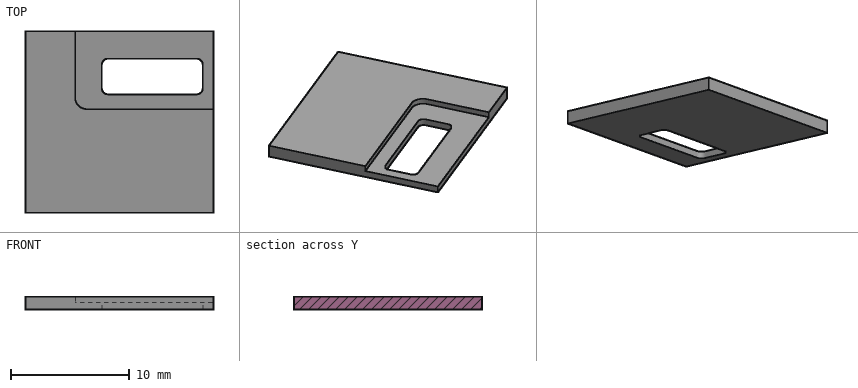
import cadquery as cq

length = 15.91
width = 15.35
thickness = 1.1

left_border = 4.2
recess_width = 6.59
recess_depth = 0.5
recess_radius = 1.0

window_length = 8.5
window_width = 2.99
window_right_margin = 0.94
window_back_margin = 2.34
window_radius = 0.5

plate = cq.Workplane("XY").box(length, width, thickness, centered=False)

recess_length = length - left_border
recess = (
    cq.Workplane("XY")
    .box(recess_length, recess_width, recess_depth, centered=False)
    .edges("|Z and <X and <Y")
    .fillet(recess_radius)
    .translate((left_border, width - recess_width, thickness - recess_depth))
)

window_left = length - window_right_margin - window_length
window_front = width - window_back_margin - window_width
window = (
    cq.Workplane("XY")
    .box(window_length, window_width, thickness, centered=False)
    .edges("|Z")
    .fillet(window_radius)
    .translate((window_left, window_front, 0))
)

result = plate.cut(recess).cut(window)